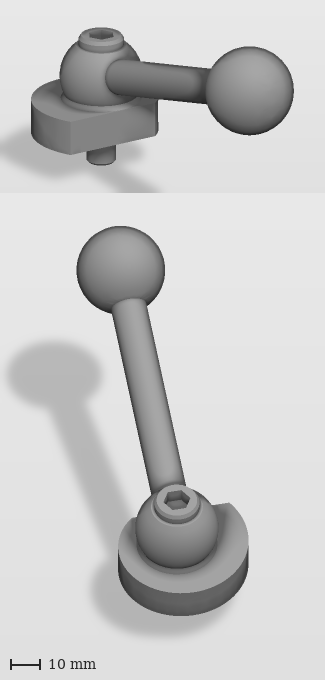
import cadquery as cq
import math

CAM_THICKNESS = 12.0
CAM_FLAT_X = 14.0
CAM_MEAN_RADIUS = 22.2
CAM_RISE_PER_TURN = 8.7
CAM_START_ANGLE = math.radians(36)
CAM_END_ANGLE = math.radians(310)

HUB_RADIUS = 14.0
HUB_CENTER_Z = 20.0
HUB_TOP_Z = 31.0
FOOT_HEIGHT = 1.6
FOOT_BASE_RADIUS = 13.6

HEAD_RADIUS = 7.6
HEAD_TOP_Z = 34.5
HEAD_CHAMFER_WIDTH = 0.8
HEAD_CHAMFER_HEIGHT = 1.2
SOCKET_ACROSS_FLATS = 8.0
SOCKET_DEPTH = 5.0
STUD_RADIUS = 5.0
STUD_LENGTH = 11.0
STUD_CHAMFER = 0.8

ROD_RADIUS = 6.0
KNOB_RADIUS = 15.0
KNOB_CENTER_X = 94.0
KNOB_CENTER_Z = 45.0


def cam_point(fraction):
    """Point on the linear spiral, from its small end (0) to its large end (1)."""
    angle = CAM_START_ANGLE + fraction * (CAM_END_ANGLE - CAM_START_ANGLE)
    radius = CAM_MEAN_RADIUS + CAM_RISE_PER_TURN * (angle - math.pi) / (2 * math.pi)
    return radius * math.cos(angle), radius * math.sin(angle)


def make_cam():
    plate = (
        cq.Workplane("XY")
        .parametricCurve(cam_point, N=40, makeWire=False)
        .close()
        .extrude(CAM_THICKNESS)
    )
    size = 4 * CAM_MEAN_RADIUS
    keep = cq.Workplane("XY").box(size, size, size).translate((CAM_FLAT_X - size / 2, 0, 0))
    return plate.intersect(keep)


def make_hub():
    """Turned profile: conical foot, spherical side and flat top."""
    foot_top_z = CAM_THICKNESS + FOOT_HEIGHT

    def sphere_radius_at(z):
        return math.sqrt(HUB_RADIUS**2 - (z - HUB_CENTER_Z) ** 2)

    return (
        cq.Workplane("XZ")
        .moveTo(0, CAM_THICKNESS)
        .lineTo(FOOT_BASE_RADIUS, CAM_THICKNESS)
        .lineTo(sphere_radius_at(foot_top_z), foot_top_z)
        .threePointArc((HUB_RADIUS, HUB_CENTER_Z), (sphere_radius_at(HUB_TOP_Z), HUB_TOP_Z))
        .lineTo(0, HUB_TOP_Z)
        .close()
        .revolve(360, (0, 0, 0), (0, 1, 0))
    )


def make_head():
    return (
        cq.Workplane("XY")
        .workplane(offset=HUB_CENTER_Z)
        .circle(HEAD_RADIUS)
        .extrude(HEAD_TOP_Z - HUB_CENTER_Z)
        .faces(">Z")
        .edges()
        .chamfer(HEAD_CHAMFER_HEIGHT, HEAD_CHAMFER_WIDTH)
    )


def make_socket():
    """Hexagonal recess with two corners on the Y axis."""
    across_corners = SOCKET_ACROSS_FLATS / math.cos(math.pi / 6)
    return (
        cq.Workplane("XY")
        .workplane(offset=HEAD_TOP_Z - SOCKET_DEPTH)
        .polygon(6, across_corners)
        .extrude(SOCKET_DEPTH)
        .rotate((0, 0, 0), (0, 0, 1), 30)
    )


def make_stud():
    stud = cq.Workplane("XY").circle(STUD_RADIUS).extrude(-STUD_LENGTH)
    return stud.faces("<Z").chamfer(STUD_CHAMFER)


def make_rod():
    hub_center = cq.Vector(0, 0, HUB_CENTER_Z)
    knob_center = cq.Vector(KNOB_CENTER_X, 0, KNOB_CENTER_Z)
    path = knob_center - hub_center
    return cq.Workplane(cq.Solid.makeCylinder(ROD_RADIUS, path.Length, hub_center, path))


def make_knob():
    return cq.Workplane("XY").sphere(KNOB_RADIUS).translate((KNOB_CENTER_X, 0, KNOB_CENTER_Z))


result = (
    make_cam()
    .union(make_hub())
    .union(make_head())
    .union(make_stud())
    .union(make_rod())
    .union(make_knob())
    .cut(make_socket())
)